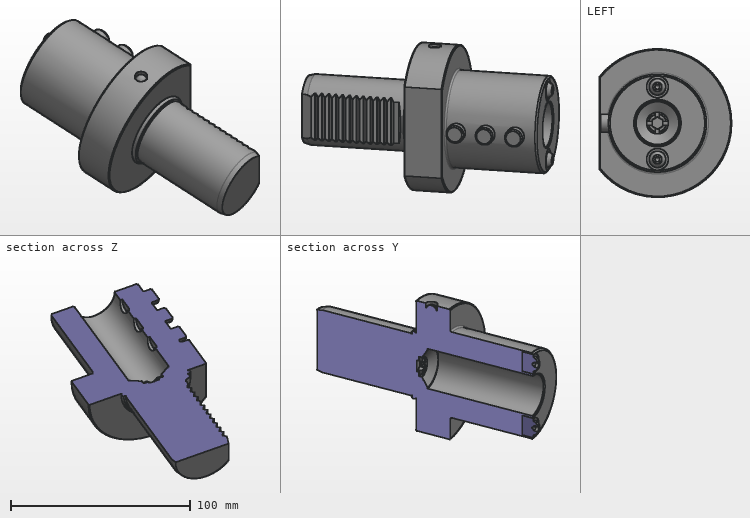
import cadquery as cq
import math


sleeve_radius = 27.4
sleeve_length = 53.0
sleeve_chamfer = 1.0
sleeve_fillet = 1.0
flange_radius = 41.5
flange_thickness = 22.0
flange_chamfer = 0.5
flange_flat_y = 32.5
shank_radius = 20.0
shank_length = 63.0
shank_bevel_length = 3.4
shank_bevel_depth = 0.8
flange_front_x = -flange_thickness
face_x = flange_front_x - sleeve_length

seal_radius = 21.6
seal_width = 2.5
seal_crown = 0.8
relief_width = 0.8
relief_depth = 0.4

tooth_crest_y = 16.0
tooth_depth = 1.5
tooth_crest_width = 0.3
tooth_valley_width = 0.4
valley_count = 12
first_valley_x = 11.7
last_valley_x = 55.2
valley_pitch = (last_valley_x - first_valley_x) / (valley_count - 1)
flat_start_x = 6.7
flat_runout = 2.0
end_slope_start_x = 57.6
end_slope_drop = 1.7

bore_radius = 12.5
drill_radius = 12.0
bore_depth = 67.5
bore_chamfer = 0.7
bore_point_angle = 118.0
bore_bottom_x = face_x + bore_depth

stop_radius = 6.0
stop_chamfer = 1.1
stop_recess = 0.4
stop_slot_width = 2.2
stop_slot_depth = 1.7
stop_hex_flats = 6.0
stop_hex_depth = 2.8
stop_length = stop_hex_depth + stop_chamfer
cone_length = (drill_radius - stop_radius) / math.tan(math.radians(bore_point_angle / 2))
stop_x = bore_bottom_x + cone_length + stop_recess

clamp_radius = 5.0
clamp_chamfer = 0.8
clamp_spacing = 16.9
clamp_count = 3
first_clamp_x = face_x + 12.2
clamp_tip_y = 13.8
clamp_hole_radius = 4.5

ball_radius = 3.5
ball_x = -10.0
ball_recess = 0.5

nozzle_offset = 20.2
nozzle_collar_radius = 6.0
nozzle_collar_depth = 7.0
nozzle_ball_radius = 4.9
nozzle_protrusion = 2.5
nozzle_tip_radius = 2.5
nozzle_hole_radius = 1.4
nozzle_hole_depth = 2.1
nozzle_point_depth = 1.4


def cylinder_x(x_start, length, radius, z=0.0):
    """Cylinder along +X, starting at x_start."""
    return cq.Workplane("YZ", origin=(x_start, 0, z)).circle(radius).extrude(length)


def make_sleeve():
    """Round sleeve with a chamfered front rim and a fillet flaring out to the flange."""
    corner_x = flange_front_x - sleeve_fillet
    arc_offset = sleeve_fillet * (1 - math.sqrt(0.5))
    return (
        cq.Workplane("XY")
        .moveTo(face_x, 0)
        .lineTo(face_x, sleeve_radius - sleeve_chamfer)
        .lineTo(face_x + sleeve_chamfer, sleeve_radius)
        .lineTo(corner_x, sleeve_radius)
        .threePointArc(
            (flange_front_x - arc_offset, sleeve_radius + arc_offset),
            (flange_front_x, sleeve_radius + sleeve_fillet),
        )
        .lineTo(flange_front_x, 0)
        .close()
        .revolve(360, (0, 0, 0), (1, 0, 0))
    )


def make_flange():
    """Disc with one flat towards +Y and both rims chamfered."""
    disc = cylinder_x(flange_front_x, flange_thickness, flange_radius)
    beyond_flat = (
        cq.Workplane("XY")
        .box(flange_thickness, flange_radius, 2 * flange_radius, centered=(False, False, True))
        .translate((flange_front_x, flange_flat_y, 0))
    )
    return disc.cut(beyond_flat).faces("<X or >X").edges().chamfer(flange_chamfer)


def make_shank():
    """Shank with a tapered relief at its root and a slim bevel at its end."""
    return (
        cq.Workplane("XY")
        .moveTo(0, 0)
        .lineTo(0, shank_radius - relief_depth)
        .lineTo(seal_width, shank_radius - relief_depth)
        .lineTo(seal_width + relief_width, shank_radius)
        .lineTo(shank_length - shank_bevel_length, shank_radius)
        .lineTo(shank_length, shank_radius - shank_bevel_depth)
        .lineTo(shank_length, 0)
        .close()
        .revolve(360, (0, 0, 0), (1, 0, 0))
    )


def make_seal():
    """Rounded sealing ring seated against the flange."""
    rim_radius = seal_radius - seal_crown
    return (
        cq.Workplane("XY")
        .lineTo(0, rim_radius)
        .threePointArc((seal_width / 2, seal_radius), (seal_width, rim_radius))
        .lineTo(seal_width, 0)
        .close()
        .revolve(360, (0, 0, 0), (1, 0, 0))
    )


def make_tooth_cut():
    """Material removed above the toothed flat, across the full width of the shank."""
    top_y = seal_radius
    valley_y = tooth_crest_y - tooth_depth
    half_top = (valley_pitch - tooth_crest_width) / 2
    half_bottom = tooth_valley_width / 2
    runout_slope = flat_runout / (shank_radius - tooth_crest_y)
    outline = [
        (flat_start_x - runout_slope * (top_y - tooth_crest_y), top_y),
        (flat_start_x, tooth_crest_y),
    ]
    for i in range(valley_count):
        valley_x = first_valley_x + i * valley_pitch
        outline += [
            (valley_x - half_top, tooth_crest_y),
            (valley_x - half_bottom, valley_y),
            (valley_x + half_bottom, valley_y),
            (valley_x + half_top, tooth_crest_y),
        ]
    outline += [
        (end_slope_start_x, tooth_crest_y),
        (shank_length, tooth_crest_y - end_slope_drop),
        (shank_length, top_y),
    ]
    return cq.Workplane("XY").polyline(outline).close().extrude(shank_radius, both=True)


def make_bore():
    """Tool bore with a chamfered mouth and a drill-point bottom that ends at the stop screw."""
    return (
        cq.Workplane("XY")
        .moveTo(face_x, 0)
        .lineTo(face_x, bore_radius + bore_chamfer)
        .lineTo(face_x + bore_chamfer, bore_radius)
        .lineTo(bore_bottom_x, bore_radius)
        .lineTo(bore_bottom_x, drill_radius)
        .lineTo(bore_bottom_x + cone_length, stop_radius)
        .lineTo(stop_x + stop_length, stop_radius)
        .lineTo(stop_x + stop_length, 0)
        .close()
        .revolve(360, (0, 0, 0), (1, 0, 0))
    )


def make_stop_screw():
    """Chamfered screw end with a hexagon socket and crossed slots."""
    screw = cylinder_x(stop_x, stop_length, stop_radius).faces("<X").chamfer(stop_chamfer)
    front = cq.Workplane("YZ", origin=(stop_x, 0, 0))
    hex_corners = stop_hex_flats / math.cos(math.pi / 6)
    hexagon = front.transformed(rotate=(0, 0, 90)).polygon(6, hex_corners)
    screw = screw.cut(hexagon.extrude(stop_hex_depth))
    for angle in (0, 90):
        slot = front.transformed(rotate=(0, 0, angle)).rect(2 * stop_radius, stop_slot_width)
        screw = screw.cut(slot.extrude(stop_slot_depth))
    return screw


def cylinder_y(x, y_start, y_end, radius):
    """Cylinder along Y between two heights, centred on Z = 0."""
    return cq.Workplane("XZ", origin=(x, y_end, 0)).circle(radius).extrude(y_end - y_start)


def add_clamp_screws(body):
    """Three screws in a row; each tip stays back from the bore in its open hole."""
    for i in range(clamp_count):
        x = first_clamp_x + i * clamp_spacing
        screw = cylinder_y(x, clamp_tip_y, flange_flat_y, clamp_radius).faces(">Y").chamfer(clamp_chamfer)
        body = body.union(screw).cut(cylinder_y(x, 0, clamp_tip_y, clamp_hole_radius))
    return body


def add_coolant_ball(body):
    """Radial hole in the top of the flange, closed by a ball of the hole's own size."""
    ball_z = flange_radius - ball_recess - ball_radius
    hole_start = cq.Workplane("XY", origin=(ball_x, 0, ball_z))
    hole = hole_start.circle(ball_radius).extrude(flange_radius - ball_z)
    ball = cq.Workplane("XY").sphere(ball_radius).translate((ball_x, 0, ball_z))
    return body.cut(hole).union(ball)


def make_housing():
    """Holder body, including its screws and coolant ball, with seats for the nozzles."""
    shank = make_shank().cut(make_tooth_cut())
    body = make_sleeve().union(make_flange()).union(shank).union(make_seal())
    body = body.cut(make_bore()).union(make_stop_screw())
    body = add_clamp_screws(body)
    body = add_coolant_ball(body)
    for side in (1, -1):
        seat = cylinder_x(face_x, nozzle_collar_depth, nozzle_collar_radius, side * nozzle_offset)
        body = body.cut(seat)
    return body


def make_nozzle(z):
    """Flush collar carrying a flat-tipped ball with a drilled spray hole."""
    tip_x = face_x - nozzle_protrusion
    ball_center_x = tip_x + math.sqrt(nozzle_ball_radius**2 - nozzle_tip_radius**2)
    ball = cq.Workplane("XY").sphere(nozzle_ball_radius).translate((ball_center_x, 0, z))
    ball = ball.intersect(cylinder_x(tip_x, nozzle_protrusion + nozzle_collar_depth, nozzle_ball_radius, z))
    collar = cylinder_x(face_x, nozzle_collar_depth, nozzle_collar_radius, z)
    point = cq.Solid.makeCone(
        nozzle_hole_radius,
        0,
        nozzle_point_depth,
        cq.Vector(tip_x + nozzle_hole_depth, 0, z),
        cq.Vector(1, 0, 0),
    )
    spray_hole = cylinder_x(tip_x, nozzle_hole_depth, nozzle_hole_radius, z).union(cq.Workplane(point))
    return collar.union(ball).cut(spray_hole)


housing = make_housing()
nozzles = [make_nozzle(side * nozzle_offset).val() for side in (1, -1)]
result = cq.Compound.makeCompound([housing.val(), *nozzles])